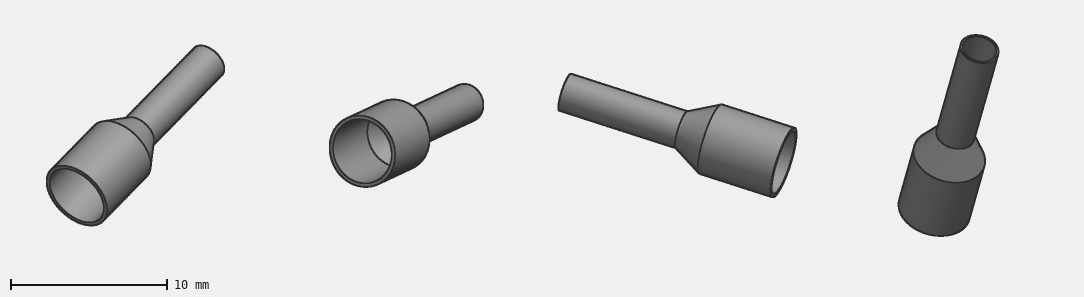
import cadquery as cq

total_length = 15.0
collar_length = 5.0
cone_length = 2.0

collar_outer_diameter = 4.7
collar_inner_diameter = 4.2
tube_outer_diameter = 2.5
tube_inner_diameter = 2.2

collar_end = collar_length
cone_end = collar_end + cone_length


def stepped_body(collar_diameter, tube_diameter):
    """Solid of revolution about Y: collar, cone, then tube."""
    collar_radius = collar_diameter / 2
    tube_radius = tube_diameter / 2
    half_profile = [
        (0, 0),
        (collar_radius, 0),
        (collar_radius, collar_end),
        (tube_radius, cone_end),
        (tube_radius, total_length),
        (0, total_length),
    ]
    profile = cq.Workplane("XY").polyline(half_profile).close()
    return profile.revolve(360, (0, 0, 0), (0, 1, 0))


outer_body = stepped_body(collar_outer_diameter, tube_outer_diameter)
through_bore = stepped_body(collar_inner_diameter, tube_inner_diameter)

result = outer_body.cut(through_bore)